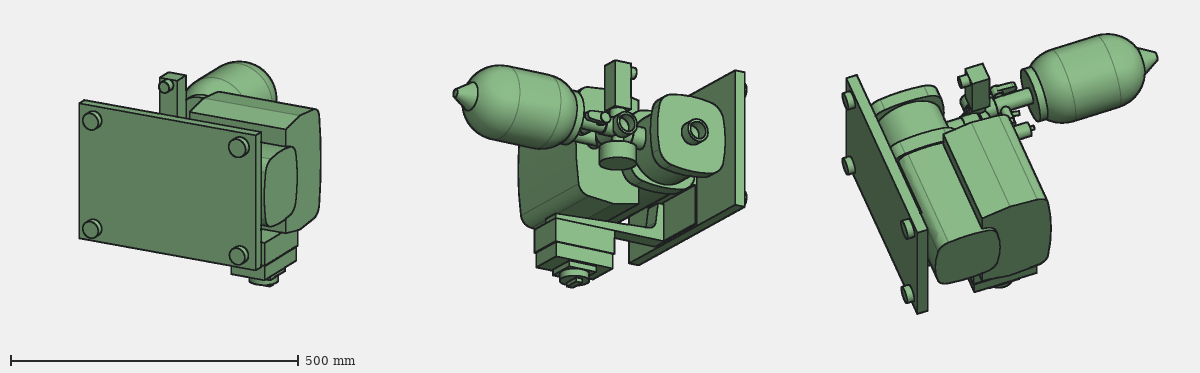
import cadquery as cq
import math


PLATE_X, PLATE_THICK, PLATE_Z = 350.0, 20.0, 250.0
FOOT_HEIGHT = 13.0
FOOT_DIA, LARGE_FOOT_DIA = 30.5, 33.5
FOOT_X, FOOT_Z = 145.0, 100.0

SHAFT_Y = 74.5
SUCTION_X, FLANGE_X = -172.5, -150.5
FLANGE_THICK = 24.0
REAR_FLANGE_X, MOTOR_X, MOTOR_END_X = -55.0, -27.0, 173.5
FLANGE_HALF, FLANGE_SIDE_RADIUS, FLANGE_CORNER = 69.5, 209.0, 31.5
MOTOR_HALF_Y, MOTOR_HALF_Z = 60.5, 66.0
MOTOR_SIDE_RADIUS, MOTOR_CORNER = 192.0, 25.0
CASING_DIA = 127.5
PORT_DIA, PORT_BORE = 40.5, 31.0
SUCTION_BORE_DEPTH, OUTLET_BORE_DEPTH = 22.0, 20.0
BORE_TIP_DEPTH = 9.0
DISCHARGE_X, DISCHARGE_DIA, DISCHARGE_END_Y = -83.5, 39.0, 164.5

BOX_X, BOX_END_X = -22.5, 168.0
BOX_BACK_Y, BOX_BACK_HALF = 103.5, 96.0
BOX_RIDGE_Y, BOX_RIDGE_HALF = 155.5, 105.5
BOX_CORNER_Y, BOX_CORNER_HALF = 224.0, 99.5
BOX_FRONT_Y = 232.0
BOX_CORNER_RADIUS = 22.5

PEDESTAL_X, PEDESTAL_END_X = -47.5, 88.5
PEDESTAL_HALF, PEDESTAL_TOP_Y = 49.0, 22.5
PAD_THICK, PAD_TOP_Z = 3.0, 80.0
BRACKET_BOTTOM_Z = -121.0
GUSSET_TOP_Y, GUSSET_TOP_Z = 14.0, -52.5
ELBOW_Y, ELBOW_Z, ELBOW_RADIUS = 20.5, -101.0, 16.0
ARM_END_Y, ARM_END_Z = 224.5, -112.5

CONTROL_X, CONTROL_Y = 91.5, 164.0
CASE_X, CASE_Y, CASE_HEIGHT = 70.0, 121.0, 43.0
COVER_X, COVER_Y, COVER_HEIGHT = 66.0, 116.5, 27.0
KNOB_BASE, KNOB_BASE_HEIGHT = 55.0, 11.0
KNOB_DIA, KNOB_HEIGHT = 51.5, 13.0
POINTER_X, POINTER_Y, POINTER_HEIGHT = 31.0, 12.5, 7.5

RISER_X, RISER_DIA = -107.5, 29.0
SOCKET_DIA, SOCKET_TOP_Y = 34.0, 231.0
BRANCH_Y = 199.0
OUTLET_X, OUTLET_END_X = -138.5, -117.5
CROSS_DIA, CROSS_END_X = 33.0, -60.5
TEE_DIA, TEE_TOP_Y, TEE_CHAMFER = 42.0, 199.0, 5.5
COLLAR_Y, COLLAR_DIA = 298.0, 95.5
TANK_DIA, TANK_LOWER_Y, TANK_UPPER_Y = 131.0, 357.0, 441.0
NOSE_Y, NOSE_TIP_Y, NOSE_TIP_DIA = 502.0, 532.0, 14.5
SENSOR_X, SENSOR_DIA, SENSOR_TOP_Y = -42.0, 25.5, 270.5
SENSOR_PIPE_END_X = -25.5
SENSOR_TIP_DIA, SENSOR_TIP_HEIGHT = 7.5, 9.0
NECK_DIA = 29.5
SWITCH_X, SWITCH_Y, SWITCH_Z, SWITCH_HEIGHT = 34.5, 33.0, 33.0, 85.0
SWITCH_PORT_DIA, SWITCH_PORT_LENGTH = 20.5, 16.5
GAUGE_DIA, GAUGE_Z, GAUGE_HEIGHT = 64.5, -35.5, 30.5
GAUGE_STEM_DIA, GAUGE_NUT_DIA, GAUGE_NUT_HEIGHT = 20.5, 23.0, 7.5
VALVE_Y = 245.0
VALVE_STEM_DIA, VALVE_BOSS_DIA = 15.0, 19.0
VALVE_BOSS_X, VALVE_BOSS_LENGTH = -142.5, 17.0
LEVER_X, LEVER_THICK, LEVER_TIP_Y, LEVER_TIP_RADIUS = -140.5, 10.0, 273.5, 7.5
FILLER_DIA, FILLER_END_X = 17.0, -69.5
FILLER_CAP_DIA, FILLER_CAP_LENGTH = 15.0, 9.5
STUB_X, STUB_DIA, STUB_LENGTH, STUB_TILT = -83.0, 8.0, 21.5, 10.0


def rod(start, direction, length, dia):
    """Round bar from a start point along a direction."""
    solid = cq.Solid.makeCylinder(dia / 2, length, cq.Vector(*start), cq.Vector(*direction))
    return cq.Workplane(obj=solid)


def rod_x(x0, x1, y, dia):
    return rod((x0, y, 0), (1, 0, 0), x1 - x0, dia)


def rod_y(x, y0, y1, dia, z=0):
    return rod((x, y0, z), (0, 1, 0), y1 - y0, dia)


def rod_z(x, y, z0, z1, dia):
    return rod((x, y, z0), (0, 0, 1), z1 - z0, dia)


def block(x0, x1, y0, y1, z0, z1):
    """Box between two opposite corners."""
    return cq.Workplane("XY").box(x1 - x0, y1 - y0, z1 - z0, centered=False).translate((x0, y0, z0))


def centred_block(x, y, z_top, size_x, size_y, height):
    """Box hanging below z_top, centred on a vertical line."""
    half_x, half_y = size_x / 2, size_y / 2
    return block(x - half_x, x + half_x, y - half_y, y + half_y, z_top - height, z_top)


def port_bore(x, y, depth):
    """Blind bore along +X with a conical end."""
    radius = PORT_BORE / 2
    cone = cq.Solid.makeCone(radius, 0, BORE_TIP_DEPTH, cq.Vector(x + depth, y, 0), cq.Vector(1, 0, 0))
    return rod_x(x, x + depth, y, PORT_BORE).union(cq.Workplane(obj=cone))


def bulged_prism(x0, x1, half_y, half_z, side_radius, corner_radius):
    """Prism along X around the shaft: a rectangle with four bowed sides and rounded corners."""
    offset_y, offset_z = side_radius - half_y, side_radius - half_z
    spread = math.hypot(offset_y, offset_z)
    reach = math.sqrt(side_radius**2 - (spread / 2) ** 2) / spread
    corner_y = reach * offset_z - offset_y / 2
    corner_z = reach * offset_y - offset_z / 2
    return (
        cq.Workplane("YZ", origin=(x0, SHAFT_Y, 0))
        .moveTo(corner_y, corner_z)
        .threePointArc((0, half_z), (-corner_y, corner_z))
        .threePointArc((-half_y, 0), (-corner_y, -corner_z))
        .threePointArc((0, -half_z), (corner_y, -corner_z))
        .threePointArc((half_y, 0), (corner_y, corner_z))
        .close()
        .extrude(x1 - x0)
        .edges("|X")
        .fillet(corner_radius)
    )


def make_base_plate():
    half_x, half_z = PLATE_X / 2, PLATE_Z / 2
    plate = block(-half_x, half_x, -PLATE_THICK, 0, -half_z, half_z)
    for side_x in (-1, 1):
        for side_z in (-1, 1):
            dia = LARGE_FOOT_DIA if side_x > 0 and side_z > 0 else FOOT_DIA
            foot_bottom = -PLATE_THICK - FOOT_HEIGHT
            plate = plate.union(rod_y(side_x * FOOT_X, foot_bottom, -PLATE_THICK, dia, side_z * FOOT_Z))
    return plate


def make_terminal_box():
    return (
        cq.Workplane("YZ", origin=(BOX_X, 0, 0))
        .moveTo(BOX_BACK_Y, -BOX_BACK_HALF)
        .lineTo(BOX_RIDGE_Y, -BOX_RIDGE_HALF)
        .lineTo(BOX_CORNER_Y, -BOX_CORNER_HALF)
        .threePointArc((BOX_FRONT_Y, 0), (BOX_CORNER_Y, BOX_CORNER_HALF))
        .lineTo(BOX_RIDGE_Y, BOX_RIDGE_HALF)
        .lineTo(BOX_BACK_Y, BOX_BACK_HALF)
        .close()
        .extrude(BOX_END_X - BOX_X)
        .edges("|X")
        .edges(">Y")
        .fillet(BOX_CORNER_RADIUS)
    )


def make_pedestal():
    """Motor pedestal on a thin pad that lies on the base plate."""
    pedestal = block(PEDESTAL_X, PEDESTAL_END_X, 0, PEDESTAL_TOP_Y, -PEDESTAL_HALF, PEDESTAL_HALF)
    pad = block(PEDESTAL_X, PEDESTAL_END_X, 0, PAD_THICK, BRACKET_BOTTOM_Z, PAD_TOP_Z)
    return pedestal.union(pad)


def make_bracket():
    """Tapered arm that carries the control unit, with a rounded elbow at the plate."""
    bracket_x = CONTROL_X - CASE_X / 2
    outline = [
        (0, GUSSET_TOP_Z),
        (GUSSET_TOP_Y, GUSSET_TOP_Z),
        (ELBOW_Y, ELBOW_Z),
        (ARM_END_Y, ARM_END_Z),
        (ARM_END_Y, BRACKET_BOTTOM_Z),
        (0, BRACKET_BOTTOM_Z),
    ]
    return (
        cq.Workplane("YZ", origin=(bracket_x, 0, 0))
        .polyline(outline)
        .close()
        .extrude(PEDESTAL_END_X - bracket_x)
        .edges(cq.selectors.NearestToPointSelector(((bracket_x + PEDESTAL_END_X) / 2, ELBOW_Y, ELBOW_Z)))
        .fillet(ELBOW_RADIUS)
    )


def make_pump():
    flange_shape = (FLANGE_HALF, FLANGE_HALF, FLANGE_SIDE_RADIUS, FLANGE_CORNER)
    motor_shape = (MOTOR_HALF_Y, MOTOR_HALF_Z, MOTOR_SIDE_RADIUS, MOTOR_CORNER)
    return (
        rod_x(FLANGE_X, MOTOR_X, SHAFT_Y, CASING_DIA)
        .union(bulged_prism(FLANGE_X, FLANGE_X + FLANGE_THICK, *flange_shape))
        .union(bulged_prism(REAR_FLANGE_X, MOTOR_X, *flange_shape))
        .union(bulged_prism(MOTOR_X, MOTOR_END_X, *motor_shape))
        .union(rod_y(DISCHARGE_X, SHAFT_Y, DISCHARGE_END_Y, DISCHARGE_DIA))
        .union(make_terminal_box())
        .union(make_pedestal())
        .union(make_bracket())
        .union(rod_x(SUCTION_X, FLANGE_X, SHAFT_Y, PORT_DIA))
        .cut(port_bore(SUCTION_X, SHAFT_Y, SUCTION_BORE_DEPTH))
    )


def make_control_unit():
    cover_top = BRACKET_BOTTOM_Z - CASE_HEIGHT
    base_top = cover_top - COVER_HEIGHT
    knob_top = base_top - KNOB_BASE_HEIGHT
    pointer_top = knob_top - KNOB_HEIGHT
    axis = (CONTROL_X, CONTROL_Y)
    return (
        centred_block(*axis, BRACKET_BOTTOM_Z, CASE_X, CASE_Y, CASE_HEIGHT)
        .union(centred_block(*axis, cover_top, COVER_X, COVER_Y, COVER_HEIGHT))
        .union(centred_block(*axis, base_top, KNOB_BASE, KNOB_BASE, KNOB_BASE_HEIGHT))
        .union(rod_z(*axis, pointer_top, knob_top, KNOB_DIA))
        .union(centred_block(*axis, pointer_top, POINTER_X, POINTER_Y, POINTER_HEIGHT))
    )


def make_tank():
    """Riser pipe, collar, domed tank and nose turned about the riser axis."""
    radius = TANK_DIA / 2
    collar_radius = COLLAR_DIA / 2
    lower_dome_y = TANK_LOWER_Y - math.sqrt(radius**2 - collar_radius**2)
    nose_radius = math.sqrt(radius**2 - (NOSE_Y - TANK_UPPER_Y) ** 2)
    diagonal = radius * math.sqrt(0.5)
    lower_angle = (math.pi / 2 - math.asin(collar_radius / radius)) / 2
    lower_mid = (radius * math.cos(lower_angle), TANK_LOWER_Y - radius * math.sin(lower_angle))
    return (
        cq.Workplane("XY", origin=(RISER_X, 0, 0))
        .moveTo(0, BRANCH_Y)
        .lineTo(RISER_DIA / 2, BRANCH_Y)
        .lineTo(RISER_DIA / 2, COLLAR_Y)
        .lineTo(collar_radius, COLLAR_Y)
        .lineTo(collar_radius, lower_dome_y)
        .threePointArc(lower_mid, (radius, TANK_LOWER_Y))
        .lineTo(radius, TANK_UPPER_Y)
        .threePointArc((diagonal, TANK_UPPER_Y + diagonal), (nose_radius, NOSE_Y))
        .lineTo(NOSE_TIP_DIA / 2, NOSE_TIP_Y)
        .lineTo(0, NOSE_TIP_Y)
        .close()
        .revolve(360, (0, 0, 0), (0, 1, 0))
    )


def make_pressure_switch():
    switch_top = SWITCH_Z + SWITCH_HEIGHT
    port_z = switch_top - SWITCH_PORT_DIA / 2
    switch_back_y = BRANCH_Y - SWITCH_Y / 2
    return (
        centred_block(RISER_X, BRANCH_Y, switch_top, SWITCH_X, SWITCH_Y, SWITCH_HEIGHT)
        .union(rod_z(RISER_X, BRANCH_Y, 0, SWITCH_Z, NECK_DIA))
        .union(rod_y(RISER_X, switch_back_y - SWITCH_PORT_LENGTH, BRANCH_Y, SWITCH_PORT_DIA, port_z))
    )


def make_gauge():
    return (
        rod_z(RISER_X, BRANCH_Y, GAUGE_Z - GAUGE_HEIGHT, GAUGE_Z, GAUGE_DIA)
        .union(rod_z(RISER_X, BRANCH_Y, GAUGE_Z, GAUGE_Z + GAUGE_NUT_HEIGHT, GAUGE_NUT_DIA))
        .union(rod_z(RISER_X, BRANCH_Y, GAUGE_Z, 0, GAUGE_STEM_DIA))
    )


def make_lever_valve():
    """Stem and boss on the riser, with a lever that tapers to a rounded tip."""
    boss_radius = VALVE_BOSS_DIA / 2
    span = LEVER_TIP_Y - VALVE_Y
    taper_angle = math.acos((boss_radius - LEVER_TIP_RADIUS) / span)
    along, across = math.cos(taper_angle), math.sin(taper_angle)
    root = (VALVE_Y + boss_radius * along, boss_radius * across)
    tip = (LEVER_TIP_Y + LEVER_TIP_RADIUS * along, LEVER_TIP_RADIUS * across)
    lever = (
        cq.Workplane("YZ", origin=(LEVER_X, 0, 0))
        .moveTo(VALVE_Y, 0)
        .lineTo(root[0], -root[1])
        .lineTo(tip[0], -tip[1])
        .threePointArc((LEVER_TIP_Y + LEVER_TIP_RADIUS, 0), tip)
        .lineTo(*root)
        .close()
        .extrude(LEVER_THICK)
    )
    return (
        rod_x(VALVE_BOSS_X, VALVE_BOSS_X + VALVE_BOSS_LENGTH, VALVE_Y, VALVE_BOSS_DIA)
        .union(rod_x(VALVE_BOSS_X, RISER_X, VALVE_Y, VALVE_STEM_DIA))
        .union(lever)
    )


def make_filler():
    """Capped side pipe on the riser with a tilted stub."""
    tilt = math.radians(STUB_TILT)
    return (
        rod_x(RISER_X, FILLER_END_X, VALVE_Y, FILLER_DIA)
        .union(rod_x(FILLER_END_X, FILLER_END_X + FILLER_CAP_LENGTH, VALVE_Y, FILLER_CAP_DIA))
        .union(rod((STUB_X, VALVE_Y, 0), (math.sin(tilt), math.cos(tilt), 0), STUB_LENGTH, STUB_DIA))
    )


def make_sensor():
    tip_y = SENSOR_TOP_Y + SENSOR_TIP_HEIGHT
    return (
        rod_x(CROSS_END_X, SENSOR_PIPE_END_X, BRANCH_Y, SENSOR_DIA)
        .union(rod_y(SENSOR_X, BRANCH_Y, SENSOR_TOP_Y, SENSOR_DIA))
        .union(rod_y(SENSOR_X, SENSOR_TOP_Y, tip_y, SENSOR_TIP_DIA))
    )


def make_pipework():
    tee = rod_y(DISCHARGE_X, DISCHARGE_END_Y, TEE_TOP_Y, TEE_DIA).faces(">Y").chamfer(TEE_CHAMFER)
    return (
        make_tank()
        .union(rod_y(RISER_X, BRANCH_Y, SOCKET_TOP_Y, SOCKET_DIA))
        .union(rod_x(OUTLET_END_X, CROSS_END_X, BRANCH_Y, CROSS_DIA))
        .union(rod_x(OUTLET_X, OUTLET_END_X, BRANCH_Y, PORT_DIA))
        .union(tee)
        .union(make_pressure_switch())
        .union(make_gauge())
        .union(make_lever_valve())
        .union(make_filler())
        .union(make_sensor())
        .cut(port_bore(OUTLET_X, BRANCH_Y, OUTLET_BORE_DEPTH))
    )


base_plate = make_base_plate()
pump = make_pump()
control_unit = make_control_unit()
pipework = make_pipework()

result = cq.Compound.makeCompound([base_plate.val(), pump.val(), control_unit.val(), pipework.val()])